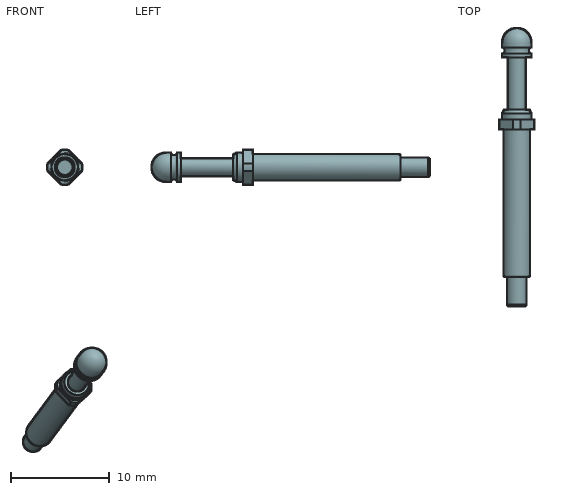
import cadquery as cq

body_length = 15.0
tail_length = 3.0
flange_thickness = 1.0
collar_length = 1.0
neck_length = 5.3
head_length = 3.0

head_diameter = 3.0
neck_diameter = 1.85
collar_diameter = 3.0
body_diameter = 2.7
tail_diameter = 2.0

flange_corner_diameter = 3.6
flange_across_flats = 3.0

head_groove_width = 0.6
head_groove_depth = 0.25
head_groove_corner_radius = 0.2
head_rim_width = 0.4
collar_nose_length = 0.4
collar_nose_drop = 0.2
body_edge_radius = 0.2
tail_chamfer = 0.2

body_end = -body_length
tail_end = body_end - tail_length
collar_start = flange_thickness
neck_start = collar_start + collar_length
head_start = neck_start + neck_length
head_tip = head_start + head_length


def rod(diameter, start, end):
    """Solid cylinder on the Y axis between two stations."""
    plane = cq.Plane(origin=(0, start, 0), xDir=(1, 0, 0), normal=(0, 1, 0))
    return cq.Workplane(plane).circle(diameter / 2).extrude(end - start)


def make_head_groove():
    """Ring cut from the head, with rounded corners along its floor."""
    groove_start = head_start + head_rim_width
    floor_diameter = head_diameter - 2 * head_groove_depth
    groove_end = groove_start + head_groove_width
    ring = rod(head_diameter, groove_start, groove_end).cut(rod(floor_diameter, groove_start, groove_end))
    floor_edges = cq.selectors.RadiusNthSelector(0)
    return ring.edges(floor_edges).fillet(head_groove_corner_radius)


def make_head():
    """Cylindrical head with a hemispherical dome and a groove behind it."""
    radius = head_diameter / 2
    dome_start = head_tip - radius
    dome = cq.Workplane("XZ").sphere(radius).translate((0, dome_start, 0))
    return rod(head_diameter, head_start, dome_start).union(dome).cut(make_head_groove())


def make_collar():
    """Collar between flange and neck with a bevelled nose."""
    collar = rod(collar_diameter, collar_start, neck_start)
    return collar.faces(">Y").chamfer(collar_nose_length, collar_nose_drop)


def make_flange():
    """Square flange with its rounded corners on the X and Z axes."""
    disc = rod(flange_corner_diameter, 0, flange_thickness)
    square = (
        cq.Workplane("XY")
        .box(flange_across_flats, flange_thickness, flange_across_flats)
        .translate((0, flange_thickness / 2, 0))
        .rotate((0, 0, 0), (0, 1, 0), 45)
    )
    return disc.intersect(square)


body = rod(body_diameter, body_end, 0).faces("<Y").edges().fillet(body_edge_radius)
tail = rod(tail_diameter, tail_end, body_end).faces("<Y").chamfer(tail_chamfer)
neck = rod(neck_diameter, neck_start, head_start)

result = (
    body.union(tail)
    .union(make_flange())
    .union(make_collar())
    .union(neck)
    .union(make_head())
)